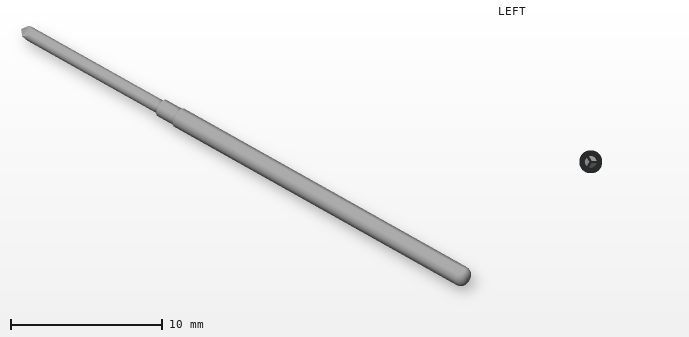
import cadquery as cq
import math

total_length = 37.08

plunger_diameter = 0.94
facet_angle = 27.0
facet_count = 3

collar_start = 11.68
collar_diameter = 1.22

barrel_start = 13.0
barrel_diameter = 1.37
barrel_taper_length = 0.12
barrel_end_radius = 0.5

tip_x = -total_length / 2
end_x = total_length / 2
collar_x = tip_x + collar_start
barrel_x = tip_x + barrel_start


def cylinder_along_x(start_x, stop_x, diameter):
    return (
        cq.Workplane("YZ", origin=(start_x, 0, 0))
        .circle(diameter / 2)
        .extrude(stop_x - start_x)
    )


def make_plunger():
    """Round rod cut to a point by equal facets, the first one facing +Y."""
    rod = cylinder_along_x(tip_x, collar_x, plunger_diameter)
    radius = plunger_diameter / 2
    facet_length = radius / math.tan(math.radians(facet_angle))
    wedge = (
        cq.Workplane("XY", origin=(tip_x, 0, -plunger_diameter))
        .polyline([(0, 0), (facet_length, radius), (0, radius)])
        .close()
        .extrude(2 * plunger_diameter)
    )
    for i in range(facet_count):
        rod = rod.cut(wedge.rotate((0, 0, 0), (1, 0, 0), i * 360 / facet_count))
    return rod


def make_barrel():
    """Round body that tapers down to the collar and has a rounded far end."""
    collar_radius = collar_diameter / 2
    barrel_radius = barrel_diameter / 2
    barrel = (
        cq.Workplane("XY")
        .moveTo(barrel_x, 0)
        .lineTo(barrel_x, collar_radius)
        .lineTo(barrel_x + barrel_taper_length, barrel_radius)
        .lineTo(end_x, barrel_radius)
        .lineTo(end_x, 0)
        .close()
        .revolve(360, (0, 0, 0), (1, 0, 0))
    )
    return barrel.faces(">X").edges().fillet(barrel_end_radius)


collar = cylinder_along_x(collar_x, barrel_x, collar_diameter)
result = make_plunger().union(collar).union(make_barrel())